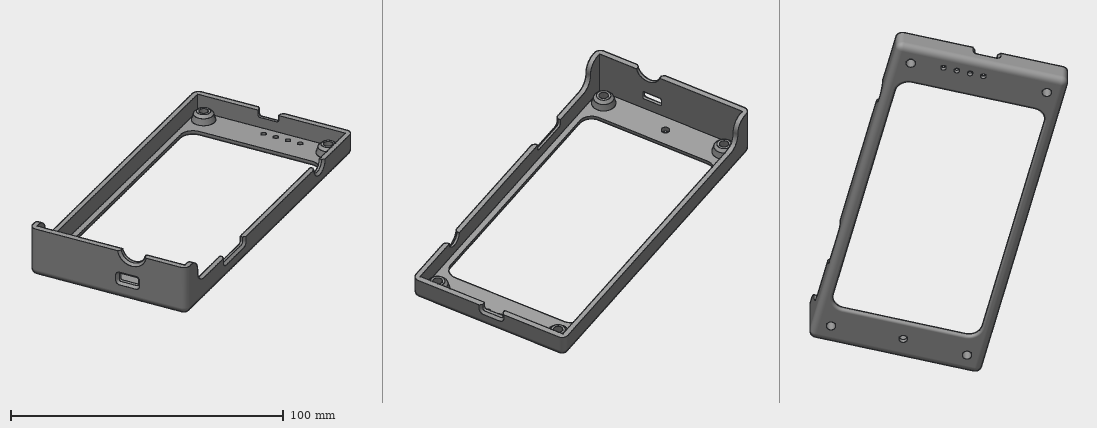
import cadquery as cq

WIDTH = 65.0
LENGTH = 132.5
FRONT_HEIGHT = 20.0
SIDE_HEIGHT = 9.1
SIDE_WALL = 2.0
END_WALL = 2.3
FLOOR = 2.0
EDGE_RADIUS = 2.5

SHOULDER_DEPTH = 8.7
SHOULDER_RADIUS = 5.0

WINDOW_WIDTH = 56.5
WINDOW_LENGTH = 102.3
WINDOW_RADIUS = 5.0
WINDOW_FILLET = 1.0
RIM_CLEARANCE = 0.1

POST_SPACING_X = 51.5
POST_SPACING_Y = 118.5
POST_CENTRE_Y = 0.3
POST_BASE_DIAMETER = 9.0
POST_DIAMETER = 7.5
POST_TIP_DIAMETER = 5.3
POST_HOLE = 3.5
POST_SHOULDER_HEIGHT = 2.5
POST_SHOULDER_Z = FLOOR + POST_SHOULDER_HEIGHT
POST_TOP = POST_SHOULDER_Z + (POST_DIAMETER - POST_TIP_DIAMETER) / 2

LED_DIAMETER = 2.0
LED_COUNT = 4
LED_PITCH = 5.0
LED_FIRST_X = -1.5
LED_Y = 60.5
RESET_DIAMETER = 3.0
RESET_X = -1.3
RESET_Y = -57.9

BEVEL = 1.0
CUT_DEPTH = max(SIDE_WALL, END_WALL)
NOTCH_RADIUS = 1.0
USB_X = 8.1
USB_Z = 8.3
USB_WIDTH = 8.0
USB_HEIGHT = 3.5
USB_RADIUS = 0.7
CABLE_X = 9.8
CABLE_Z = 21.0
CABLE_DIAMETER = 10.0
BACK_NOTCH_X = -1.3
BACK_NOTCH_WIDTH = 8.6
JACK_Y = 39.6
JACK_Z = SIDE_HEIGHT
JACK_DIAMETER = 7.0
SIDE_NOTCH_Y = -28.0
SIDE_NOTCH_WIDTH = 16.0
NOTCH_DEPTH = 2.9


def make_tray():
    """Open tray with rounded outer edges, square inner corners and a raised front end."""
    body = cq.Workplane("XY").box(WIDTH, LENGTH, FRONT_HEIGHT, centered=(True, True, False))
    body = body.edges("|Z or <Z").fillet(EDGE_RADIUS)
    cavity = (
        cq.Workplane("XY", origin=(0, 0, FLOOR))
        .rect(WIDTH - 2 * SIDE_WALL, LENGTH - 2 * END_WALL)
        .extrude(FRONT_HEIGHT)
    )
    front = -LENGTH / 2
    shoulder = front + SHOULDER_DEPTH
    profile = (
        cq.Workplane("YZ")
        .moveTo(front, 0)
        .lineTo(front, FRONT_HEIGHT)
        .lineTo(shoulder - SHOULDER_RADIUS, FRONT_HEIGHT)
        .radiusArc((shoulder, FRONT_HEIGHT - SHOULDER_RADIUS), SHOULDER_RADIUS)
        .lineTo(shoulder, SIDE_HEIGHT + SHOULDER_RADIUS)
        .radiusArc((shoulder + SHOULDER_RADIUS, SIDE_HEIGHT), -SHOULDER_RADIUS)
        .lineTo(-front, SIDE_HEIGHT)
        .lineTo(-front, 0)
        .close()
        .extrude(WIDTH / 2, both=True)
    )
    return body.cut(cavity).intersect(profile)


def cut_window(tray):
    """Cut the rounded window through the floor and round its rim on the underside."""
    window = cq.Workplane("XY").rect(WINDOW_WIDTH, WINDOW_LENGTH).extrude(FLOOR)
    window = window.edges("|Z").fillet(WINDOW_RADIUS)
    reach_x = WINDOW_WIDTH / 2 + RIM_CLEARANCE
    reach_y = WINDOW_LENGTH / 2 + RIM_CLEARANCE
    rim = cq.selectors.BoxSelector(
        (-reach_x, -reach_y, -RIM_CLEARANCE), (reach_x, reach_y, RIM_CLEARANCE), boundingbox=True
    )
    return tray.cut(window).edges(rim).fillet(WINDOW_FILLET)


def make_posts():
    """Four posts, each a steep cone under a 45 degree cone, kept inside the walls."""
    post = (
        cq.Workplane("XZ")
        .moveTo(0, FLOOR)
        .lineTo(POST_BASE_DIAMETER / 2, FLOOR)
        .lineTo(POST_DIAMETER / 2, POST_SHOULDER_Z)
        .lineTo(POST_TIP_DIAMETER / 2, POST_TOP)
        .lineTo(0, POST_TOP)
        .close()
        .revolve(360, (0, 0), (0, 1))
    )
    room = cq.Workplane("XY").box(WIDTH - 2 * SIDE_WALL, LENGTH - 2 * END_WALL, 2 * POST_TOP)
    posts = post_centres().eachpoint(lambda place: post.val().moved(place), combine=False)
    return posts.intersect(room)


def post_centres():
    """Workplane with one point at each screw post."""
    return (
        cq.Workplane("XY")
        .center(0, POST_CENTRE_Y)
        .rect(POST_SPACING_X, POST_SPACING_Y, forConstruction=True)
        .vertices()
    )


def make_floor_holes():
    """Screw holes, the row of indicator holes and the reset hole."""
    screws = post_centres().circle(POST_HOLE / 2).extrude(POST_TOP)
    row = [(LED_FIRST_X + i * LED_PITCH, LED_Y) for i in range(LED_COUNT)]
    leds = cq.Workplane("XY").pushPoints(row).circle(LED_DIAMETER / 2).extrude(FLOOR)
    reset = cq.Workplane("XY").center(RESET_X, RESET_Y).circle(RESET_DIAMETER / 2).extrude(FLOOR)
    return screws.union(leds).union(reset)


def outer_face(direction, point):
    """Workplane on an outer wall face; its normal points out of the part and its Y axis points up."""
    x_axis = (-direction[1], direction[0], 0)
    return cq.Workplane(cq.Plane(origin=point, xDir=x_axis, normal=direction))


def slot_cutter(face, width, height, radius):
    """Rounded rectangular opening through a wall, widened by a bevel at the outer face."""
    opening = face.sketch().rect(width, height).vertices().fillet(radius).finalize().extrude(-CUT_DEPTH)
    bevel = (
        face.sketch()
        .rect(width + 2 * BEVEL, height + 2 * BEVEL)
        .vertices()
        .fillet(radius + BEVEL)
        .finalize()
        .extrude(-BEVEL, taper=45)
    )
    return opening.union(bevel)


def round_cutter(face, diameter):
    """Round opening through a wall, widened by a bevel at the outer face."""
    opening = face.circle(diameter / 2).extrude(-CUT_DEPTH)
    bevel = face.circle(diameter / 2 + BEVEL).extrude(-BEVEL, taper=45)
    return opening.union(bevel)


def make_wall_openings():
    """Front USB slot and cable notch, back notch, and the jack and side notches in the +X wall."""
    front = (0, -1, 0)
    back = (0, 1, 0)
    side = (1, 0, 0)
    usb_face = outer_face(front, (USB_X, -LENGTH / 2, USB_Z))
    cable_face = outer_face(front, (CABLE_X, -LENGTH / 2, CABLE_Z))
    back_face = outer_face(back, (BACK_NOTCH_X, LENGTH / 2, SIDE_HEIGHT))
    jack_face = outer_face(side, (WIDTH / 2, JACK_Y, JACK_Z))
    side_face = outer_face(side, (WIDTH / 2, SIDE_NOTCH_Y, SIDE_HEIGHT))
    notch_height = 2 * NOTCH_DEPTH
    return [
        slot_cutter(usb_face, USB_WIDTH, USB_HEIGHT, USB_RADIUS),
        round_cutter(cable_face, CABLE_DIAMETER),
        slot_cutter(back_face, BACK_NOTCH_WIDTH, notch_height, NOTCH_RADIUS),
        round_cutter(jack_face, JACK_DIAMETER),
        slot_cutter(side_face, SIDE_NOTCH_WIDTH, notch_height, NOTCH_RADIUS),
    ]


result = cut_window(make_tray()).union(make_posts()).cut(make_floor_holes())
for opening_cutter in make_wall_openings():
    result = result.cut(opening_cutter)